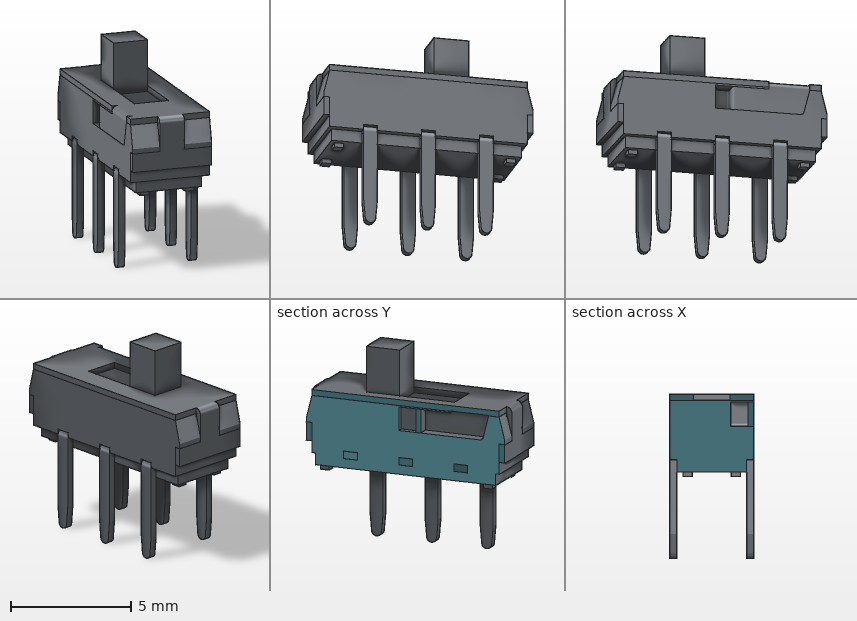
import cadquery as cq


length = 9.0
width = 3.5
overall_height = 8.8

sheet = 0.25
tab_neck_width = 1.1

knob_length = 1.5
knob_width = 1.5
knob_height = 1.97
slot_length = 4.0

foot_size = 0.4
foot_height = 0.19
foot_centre_x = 3.7
foot_centre_y = 1.0
base_length = 8.17
base_height = 0.5
shell_height = 2.74
core_length = length - 2 * sheet

pin_count = 3
pin_pitch = 2.49
pin_positions = [(i - (pin_count - 1) / 2) * pin_pitch for i in range(pin_count)]
pin_width = 0.59
pin_thickness = 0.3
pin_tip_width = 0.45
pin_tip_height = 0.2
pin_taper_height = 0.8

base_bottom = foot_height
core_bottom = base_bottom + base_height
cover_top = core_bottom + shell_height
core_top = cover_top - sheet
terminal_top = cover_top - 2.52
ear_slope_end = cover_top - 1.24
ear_bottom = cover_top - 1.44
tab_bottom = cover_top - 2.23
window_top = cover_top - 0.33
window_bottom = cover_top - 1.33
pin_end = cover_top + knob_height - overall_height

front = -width / 2
window_left = -0.3
spring_root_left = slot_length / 2
spring_root_right = 3.75
window_low_right = 3.47
window_corner_radius = 0.15
jog_x = 0.45
jog_depth = 0.7
jog_radius = 0.1
spring_back = front + jog_depth + sheet


def block(x_min, x_max, y_min, y_max, z_min, z_max):
    """Rectangular block between the given limits."""
    size = (x_max - x_min, y_max - y_min, z_max - z_min)
    return cq.Workplane("XY").box(*size, centered=False).translate((x_min, y_min, z_min))


def window_prism():
    """Spring window outline, running from the front wall to the back of the spring."""
    corner = (window_low_right, window_bottom)
    outline = (
        cq.Workplane("XZ", origin=(0, front, 0))
        .moveTo(window_left, window_bottom)
        .lineTo(*corner)
        .lineTo(spring_root_right, core_top)
        .lineTo(spring_root_left, core_top)
        .lineTo(spring_root_left, window_top)
        .lineTo(window_left, window_top)
        .close()
        .extrude(front - spring_back)
    )
    corner_edge = cq.selectors.NearestToPointSelector((corner[0], (front + spring_back) / 2, corner[1]))
    return outline.edges(corner_edge).fillet(window_corner_radius)


def detent_spring():
    """Strip flush with the front wall that jogs inward near its free end."""
    jog_back = front + jog_depth
    arc_inset = jog_radius * (1 - 0.5**0.5)
    strip = (
        cq.Workplane("XY", origin=(0, 0, window_bottom))
        .moveTo(spring_root_right, front)
        .lineTo(jog_x + jog_radius, front)
        .threePointArc((jog_x + arc_inset, front + arc_inset), (jog_x, front + jog_radius))
        .lineTo(jog_x, jog_back - jog_radius)
        .threePointArc((jog_x - arc_inset, jog_back - arc_inset), (jog_x - jog_radius, jog_back))
        .lineTo(window_left, jog_back)
        .lineTo(window_left, spring_back)
        .lineTo(jog_x + sheet, spring_back)
        .lineTo(jog_x + sheet, front + sheet)
        .lineTo(spring_root_right, front + sheet)
        .close()
        .extrude(core_top - window_bottom)
    )
    return strip.intersect(window_prism())


def end_tab():
    """T-shaped tab at the +X end, its neck bent down from the cover plate."""
    inner, outer = core_length / 2, length / 2
    half_neck = tab_neck_width / 2
    neck = (
        cq.Workplane("XZ")
        .moveTo(inner, ear_bottom)
        .lineTo(inner, cover_top)
        .radiusArc((outer, core_top), sheet)
        .lineTo(outer, ear_bottom)
        .close()
        .extrude(half_neck, both=True)
    )
    band = block(inner, outer, -width / 2, width / 2, tab_bottom, ear_bottom)
    return neck.union(band)


def make_cover():
    """Slotted top plate with two end tabs and the detent spring."""
    half_core, half_width = core_length / 2, width / 2
    plate = block(-half_core, half_core, -half_width, half_width, core_top, cover_top)
    slot = block(-slot_length / 2, slot_length / 2, -knob_width / 2, knob_width / 2, core_top, cover_top)
    root_limits = (spring_root_left, spring_root_right, front, front + sheet, core_top, cover_top)
    bend = (
        cq.Workplane("YZ", origin=(spring_root_left, 0, 0))
        .moveTo(front + sheet, core_top)
        .lineTo(front, core_top)
        .radiusArc((front + sheet, cover_top), sheet)
        .close()
        .extrude(spring_root_right - spring_root_left)
    )
    cover = plate.cut(slot).cut(block(*root_limits)).union(bend).union(detent_spring())
    tab = end_tab()
    return cover.union(tab).union(tab.mirror("YZ"))


def make_terminal(x):
    """Strip bent into a U, with a tapered, rounded pin at the front and the back."""
    half_width, half_tip = pin_width / 2, pin_tip_width / 2
    round_start = pin_end + pin_tip_height
    taper_start = round_start + pin_taper_height
    outline = (
        cq.Workplane("XZ", origin=(x, 0, 0))
        .moveTo(-half_width, terminal_top)
        .lineTo(-half_width, taper_start)
        .lineTo(-half_tip, round_start)
        .threePointArc((0, pin_end), (half_tip, round_start))
        .lineTo(half_width, taper_start)
        .lineTo(half_width, terminal_top)
        .close()
        .extrude(width / 2, both=True)
        .edges("|X and >Z")
        .fillet(pin_thickness)
    )
    inner_half = width / 2 - pin_thickness
    gap = block(x - half_width, x + half_width, -inner_half, inner_half, pin_end, terminal_top - pin_thickness)
    return outline.cut(gap)


def housing_shell():
    """Full-width housing with sloped ears at both ends, notched for the tab necks."""
    half_core, half_length = core_length / 2, length / 2
    shell = (
        cq.Workplane("XZ")
        .moveTo(-half_core, core_bottom)
        .lineTo(half_core, core_bottom)
        .lineTo(half_core, ear_bottom)
        .lineTo(half_length, ear_bottom)
        .lineTo(half_length, ear_slope_end)
        .lineTo(half_core, core_top)
        .lineTo(-half_core, core_top)
        .lineTo(-half_length, ear_slope_end)
        .lineTo(-half_length, ear_bottom)
        .lineTo(-half_core, ear_bottom)
        .close()
        .extrude(width / 2, both=True)
    )
    half_neck = tab_neck_width / 2
    for inner, outer in ((half_core, half_length), (-half_length, -half_core)):
        shell = shell.cut(block(inner, outer, -half_neck, half_neck, ear_bottom, core_top))
    return shell


def make_housing():
    """Housing with its base and feet, the spring window and the terminal grooves."""
    half_base_width = width / 2 - pin_thickness
    housing = housing_shell().union(
        block(-base_length / 2, base_length / 2, -half_base_width, half_base_width, base_bottom, core_bottom)
    )
    feet = (
        cq.Workplane("XY")
        .rect(2 * foot_centre_x, 2 * foot_centre_y, forConstruction=True)
        .vertices()
        .rect(foot_size, foot_size)
        .extrude(base_bottom)
    )
    housing = housing.union(feet).cut(window_prism())
    for x in pin_positions:
        housing = housing.cut(
            block(x - pin_width / 2, x + pin_width / 2, front, -front, terminal_top - pin_thickness, terminal_top)
        )
    return housing


def make_slider():
    """Knob standing at the -X end of the slot."""
    left = -slot_length / 2
    half_width = knob_width / 2
    return block(left, left + knob_length, -half_width, half_width, core_top, cover_top + knob_height)


terminals = [make_terminal(x) for x in pin_positions]
housing = make_housing()
cover = make_cover()
slider = make_slider()

bodies = [housing, cover, slider, *terminals]
result = cq.Compound.makeCompound([body.solids().val() for body in bodies])